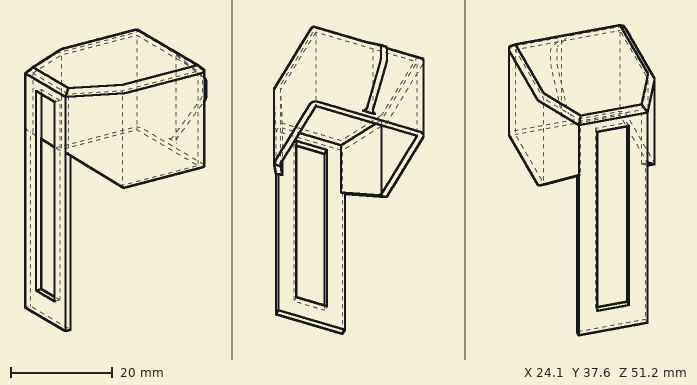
import cadquery as cq

width = 24.15
total_depth = 37.6
total_height = 51.25
wall = 1.3

hood_depth = 30.1
hood_height = 21.45
front_width = 14.2
taper_depth = 10.7
bevel_start = 10.45
front_side_height = 13.1
edge_size = 1.3

window_width = 6.5
window_top = 3.7
window_bottom_rail = 5.0

fin_thickness = 1.3
fin_tip_height = 4.0
fin_root_radius = 0.65
fin_tip_radius = 1.3


def hood_prism():
    outline = [
        (-front_width / 2, 0),
        (front_width / 2, 0),
        (width / 2, taper_depth),
        (width / 2, hood_depth),
        (-width / 2, hood_depth),
        (-width / 2, taper_depth),
    ]
    return cq.Workplane("XY").polyline(outline).close().extrude(-hood_height)


def side_profile(points):
    """Extrude a (Y, Z) outline across the full width of the part."""
    return cq.Workplane("YZ").polyline(points).close().extrude(width / 2, both=True)


def make_hood():
    chamfered = hood_prism().faces(">Z").chamfer(edge_size)
    behind_front = cq.selectors.BoxSelector(
        (-width, wall, -hood_height), (width, total_depth, 0)
    )
    rounded = hood_prism().edges("|Z").edges(behind_front).fillet(edge_size)
    hood = chamfered.intersect(rounded)

    cavity = (
        cq.Workplane("XY")
        .add(hood_prism().faces("<Z").wires().val().offset2D(-wall, "intersection"))
        .toPending()
        .extrude(hood_height - wall)
    )
    under_bevel = side_profile(
        [(0, -front_side_height), (bevel_start, -hood_height), (0, -hood_height)]
    )
    return hood.cut(cavity).cut(under_bevel)


def make_front_plate():
    return (
        cq.Workplane("XY")
        .box(front_width, wall, total_height - edge_size, centered=(True, False, False))
        .translate((0, 0, -total_height))
    )


def make_window():
    window_height = total_height - window_top - window_bottom_rail
    return (
        cq.Workplane("XY")
        .box(window_width, wall, window_height, centered=(True, False, False))
        .translate((0, 0, window_bottom_rail - total_height))
    )


def make_fin():
    half = fin_thickness / 2
    root_half = half + fin_root_radius
    root_end = hood_depth + fin_root_radius
    plan = (
        cq.Workplane("XY")
        .moveTo(-root_half, hood_depth)
        .radiusArc((-half, root_end), -fin_root_radius)
        .lineTo(-half, total_depth)
        .lineTo(half, total_depth)
        .lineTo(half, root_end)
        .radiusArc((root_half, hood_depth), -fin_root_radius)
        .close()
        .extrude(-hood_height)
    )
    reach = total_depth - hood_depth
    tip_top = -edge_size - reach
    tip_bottom = tip_top - fin_tip_height
    profile = side_profile(
        [
            (hood_depth, -edge_size),
            (total_depth, tip_top),
            (total_depth, tip_bottom),
            (hood_depth, tip_bottom - reach),
        ],
    )
    profile = profile.faces(">Y").edges("|X").fillet(fin_tip_radius)
    return plan.intersect(profile)


result = make_hood().union(make_front_plate()).cut(make_window()).union(make_fin())